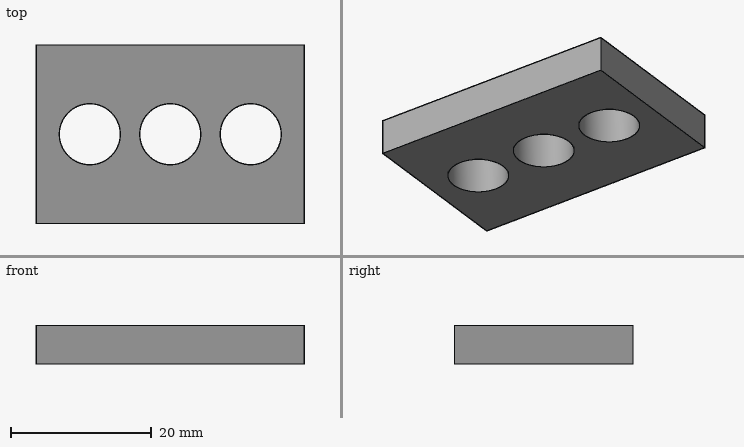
import cadquery as cq

plate_length = 38.1
plate_width = 25.4
plate_thickness = 5.5

hole_count = 3
hole_diameter = 8.64
hole_pitch = 11.43


def make_plate():
    """Plain rectangular plate centred on the origin."""
    return cq.Workplane("XY").box(plate_length, plate_width, plate_thickness)


def drill_hole_row(plate):
    """Drill the evenly spaced row of through holes along X."""
    first_x = -hole_pitch * (hole_count - 1) / 2
    hole_centres = [(first_x + i * hole_pitch, 0) for i in range(hole_count)]
    return (
        plate.faces(">Z")
        .workplane()
        .pushPoints(hole_centres)
        .hole(hole_diameter)
    )


result = drill_hole_row(make_plate())